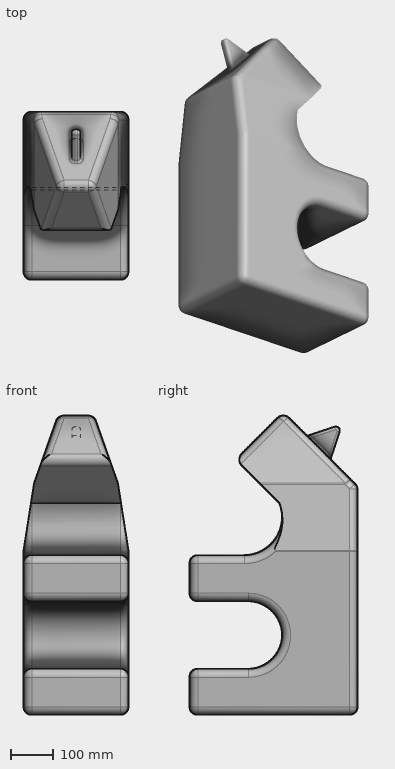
import cadquery as cq
import math

WIDTH = 250.0
DEPTH = 400.0
EDGE_RADIUS = 20.0

LOWER_ARM_TOP = 110.0
UPPER_ARM_BOTTOM = 270.0
UPPER_ARM_TOP = 380.0
SLOT_END = 220.0
LOWER_SLOT_RADIUS = (UPPER_ARM_BOTTOM - LOWER_ARM_TOP) / 2
UPPER_SLOT_RADIUS = 90.0

LEAN = math.radians(45)
APEX_HEIGHT = 720.0
NAPE_LENGTH = 250.0
HEAD_THICKNESS = 160.0

TAPER_START = 390.0
TAPER_BREAK = 550.0
BREAK_WIDTH = 200.0
APEX_WIDTH = 80.0

HORN_BASE = 79.0
HORN_HEIGHT = 79.0
HORN_THICKNESS = 20.0
HORN_TIP_RADIUS = 10.0
HORN_EDGE_RADIUS = 7.0
HORN_FROM_APEX = 119.5
HORN_SINK = 20.0

SPLIT_HEIGHT = (UPPER_ARM_BOTTOM + UPPER_ARM_TOP) / 2
MARGIN = 50.0
TOLERANCE = 0.01

APEX_Y = DEPTH - NAPE_LENGTH * math.sin(LEAN)
NAPE_FOOT_Z = APEX_HEIGHT - NAPE_LENGTH * math.cos(LEAN)
NOSE_Y = APEX_Y - HEAD_THICKNESS * math.cos(LEAN)
NOSE_Z = APEX_HEIGHT - HEAD_THICKNESS * math.sin(LEAN)
UPPER_CENTER_Y = SLOT_END - UPPER_SLOT_RADIUS
UPPER_CENTER_Z = UPPER_ARM_TOP + UPPER_SLOT_RADIUS

UNDERSIDE_OFFSET = (NOSE_Y - UPPER_CENTER_Y + NOSE_Z - UPPER_CENTER_Z) * math.sin(LEAN)
THROAT_ANGLE = LEAN - math.acos(UNDERSIDE_OFFSET / UPPER_SLOT_RADIUS)
THROAT_Y = UPPER_CENTER_Y + UPPER_SLOT_RADIUS * math.cos(THROAT_ANGLE)
THROAT_Z = UPPER_CENTER_Z + UPPER_SLOT_RADIUS * math.sin(THROAT_ANGLE)


def is_across_width(edge):
    """True for edges parallel to X."""
    box = edge.BoundingBox()
    return box.ylen < TOLERANCE and box.zlen < TOLERANCE


def height_over_nape(edge):
    """Distance of an edge's middle from the nape plane, positive outside the head."""
    middle = edge.positionAt(0.5)
    return ((middle.y - APEX_Y) + (middle.z - APEX_HEIGHT)) * math.sin(LEAN)


def length_behind_front(edge):
    """Distance of an edge's middle behind the plane of the head's front face."""
    middle = edge.positionAt(0.5)
    return ((middle.y - APEX_Y) - (middle.z - APEX_HEIGHT)) * math.sin(LEAN)


def block_above(low):
    """A block wider and deeper than the part, from a height up to the apex."""
    size = (WIDTH + 2 * MARGIN, DEPTH + 2 * MARGIN, APEX_HEIGHT - low)
    block = cq.Workplane("XY").box(*size, centered=(True, True, False))
    return block.translate((0, DEPTH / 2, low))


def sharp_body():
    """The side outline extruded across the width, with sharp edges."""
    lower_center_y = SLOT_END - LOWER_SLOT_RADIUS
    lower_center_z = LOWER_ARM_TOP + LOWER_SLOT_RADIUS
    return (
        cq.Workplane("YZ")
        .moveTo(0, 0)
        .lineTo(0, LOWER_ARM_TOP)
        .lineTo(lower_center_y, LOWER_ARM_TOP)
        .threePointArc((SLOT_END, lower_center_z), (lower_center_y, UPPER_ARM_BOTTOM))
        .lineTo(0, UPPER_ARM_BOTTOM)
        .lineTo(0, UPPER_ARM_TOP)
        .lineTo(UPPER_CENTER_Y, UPPER_ARM_TOP)
        .threePointArc((SLOT_END, UPPER_CENTER_Z), (THROAT_Y, THROAT_Z))
        .lineTo(NOSE_Y, NOSE_Z)
        .lineTo(APEX_Y, APEX_HEIGHT)
        .lineTo(DEPTH, NAPE_FOOT_Z)
        .lineTo(DEPTH, 0)
        .close()
        .extrude(WIDTH / 2, both=True)
    )


def tapered_envelope():
    """The front outline, extruded through the depth, that narrows the upper body."""
    right_side = [
        (WIDTH / 2, 0),
        (WIDTH / 2, TAPER_START),
        (BREAK_WIDTH / 2, TAPER_BREAK),
        (APEX_WIDTH / 2, APEX_HEIGHT),
    ]
    left_side = [(-x, z) for x, z in reversed(right_side)]
    envelope = cq.Workplane("XZ").polyline(right_side + left_side).close().extrude(-DEPTH)
    taper_start_edges = [
        edge
        for edge in envelope.edges("|Y").vals()
        if abs(edge.Center().z - TAPER_START) < TOLERANCE
    ]
    return envelope.newObject(taper_start_edges).fillet(EDGE_RADIUS)


def is_slot_tangent_line(edge):
    """True where a slot's flat meets its round end."""
    middle_y = edge.Center().y
    return is_across_width(edge) and TOLERANCE < middle_y < DEPTH - TOLERANCE


def lower_body():
    """Base, lower arm and lower half of the upper arm, rounded on all outer edges."""
    block = sharp_body().cut(block_above(SPLIT_HEIGHT))
    outer_edges = [
        edge
        for edge in block.edges().vals()
        if edge.BoundingBox().zmin < SPLIT_HEIGHT - TOLERANCE and not is_slot_tangent_line(edge)
    ]
    return block.newObject(outer_edges).fillet(EDGE_RADIUS)


def is_upper_arm_edge(edge):
    """True for the front and top edges of the upper arm and the rims of the upper slot."""
    box = edge.BoundingBox()
    in_height = SPLIT_HEIGHT + TOLERANCE < box.zmax < THROAT_Z + TOLERANCE
    in_front = box.ymax < SLOT_END + TOLERANCE
    is_throat = is_across_width(edge) and box.zmax > UPPER_ARM_TOP + TOLERANCE
    return in_height and in_front and not is_throat and not is_slot_tangent_line(edge)


def is_head_edge(edge):
    """True for the edges of the back, nape and front face, and the crease of the taper."""
    if edge.geomType() != "LINE":
        return False
    middle = edge.positionAt(0.5)
    on_back = middle.y > DEPTH - TOLERANCE and edge.BoundingBox().zmax > SPLIT_HEIGHT + TOLERANCE
    on_nape = abs(height_over_nape(edge)) < TOLERANCE
    on_front = abs(length_behind_front(edge)) < TOLERANCE
    on_crease = abs(middle.z - TAPER_BREAK) < TOLERANCE
    return on_back or on_nape or on_front or on_crease


def upper_body():
    """Upper half of the upper arm and the head; the head's underside keeps sharp sides."""
    block = sharp_body().intersect(block_above(SPLIT_HEIGHT))
    arm_edges = [edge for edge in block.edges().vals() if is_upper_arm_edge(edge)]
    tapered = block.newObject(arm_edges).fillet(EDGE_RADIUS).intersect(tapered_envelope())
    head_edges = [edge for edge in tapered.edges().vals() if is_head_edge(edge)]
    return tapered.newObject(head_edges).fillet(EDGE_RADIUS)


def horn():
    """Triangular horn with a rounded tip and rim, sunk into the head below the nape."""
    nape_middle = cq.Plane(
        origin=(
            0,
            APEX_Y + HORN_FROM_APEX * math.sin(LEAN),
            APEX_HEIGHT - HORN_FROM_APEX * math.cos(LEAN),
        ),
        xDir=(0, math.sin(LEAN), -math.cos(LEAN)),
        normal=(1, 0, 0),
    )
    half_root = HORN_BASE / 2 * (1 + HORN_SINK / HORN_HEIGHT)
    blank = (
        cq.Workplane(nape_middle)
        .polyline([(-half_root, -HORN_SINK), (half_root, -HORN_SINK), (0, HORN_HEIGHT)])
        .close()
        .extrude(HORN_THICKNESS / 2, both=True)
    )
    tip = [edge for edge in blank.edges("|X").vals() if height_over_nape(edge) > 0]
    tipped = blank.newObject(tip).fillet(HORN_TIP_RADIUS)
    rim = [
        edge
        for edge in tipped.edges().vals()
        if height_over_nape(edge) > 0 and not is_across_width(edge)
    ]
    return tipped.newObject(rim).fillet(HORN_EDGE_RADIUS)


def is_horn_root_edge(edge):
    """True for the edges where the horn stands on the nape."""
    beside_middle = abs(edge.Center().x) < HORN_THICKNESS
    inside_nape = edge.Length() < HORN_BASE + TOLERANCE
    return beside_middle and inside_nape and abs(height_over_nape(edge)) < TOLERANCE


def with_horn(body):
    """The body with the horn added and its root blended into the nape."""
    horned = body.union(horn())
    root = [edge for edge in horned.edges().vals() if is_horn_root_edge(edge)]
    return horned.newObject(root).fillet(HORN_EDGE_RADIUS)


result = with_horn(lower_body().union(upper_body()).clean())